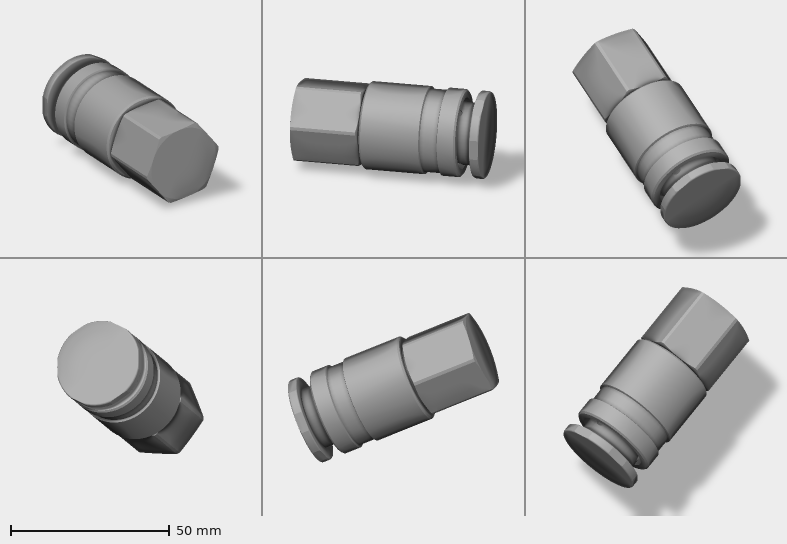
import cadquery as cq
import math

flange_width = 3.0
sleeve_start = 7.55
neck_step = 11.7
groove_start = 13.35
groove_end = 19.35
sleeve_end = 38.8
hex_start = 39.45
length = 61.45

outer_diameter = 28.0
groove_diameter = 26.5
front_neck_diameter = 20.0
rear_neck_diameter = 22.75

flange_across_flats = 27.3
flange_rounding = 0.5
hexagon_sides = 6

end_chamfer = 0.55
groove_wall_run = 0.275

pocket_count = 3
pocket_diameter = 3.3
pocket_x = 8.7
pocket_floor_diameter = 18.8

hex_across_flats = 24.0
hex_corner_diameter = 27.15
hex_roll = 8.7
hex_face_diameter = 24.1
hex_front_chamfer = 0.55
hex_rear_chamfer = 0.35


def turned(points):
    """Revolve a closed (x, radius) outline about the X axis."""
    outline = cq.Workplane("XY").polyline(points).close()
    return outline.revolve(360, (0, 0, 0), (1, 0, 0))


def cylinder(start, end, diameter):
    return cq.Workplane("YZ").workplane(offset=start).circle(diameter / 2).extrude(end - start)


def chamfered_disc(start, end, diameter, face_diameter, front_chamfer, rear_chamfer):
    """Disc whose two rims are cut back to a smaller face diameter."""
    return turned([
        (start, 0),
        (start, face_diameter / 2),
        (start + front_chamfer, diameter / 2),
        (end - rear_chamfer, diameter / 2),
        (end, face_diameter / 2),
        (end, 0),
    ])


def hexagonal_bar(start, end, across_flats, roll):
    """Hexagonal prism along X with corners at +Y and -Y, then rolled about X."""
    across_corners = across_flats / math.cos(math.pi / hexagon_sides)
    bar = cq.Workplane("YZ").workplane(offset=start).polygon(hexagon_sides, across_corners)
    return bar.extrude(end - start).rotate((0, 0, 0), (1, 0, 0), roll)


def make_flange():
    disc = cylinder(0, flange_width, outer_diameter).edges().fillet(flange_rounding)
    flats_to_minus_y = 180 / hexagon_sides
    return disc.intersect(hexagonal_bar(0, flange_width, flange_across_flats, flats_to_minus_y))


def make_hex_end():
    blank = chamfered_disc(
        hex_start, length, hex_corner_diameter, hex_face_diameter, hex_front_chamfer, hex_rear_chamfer
    )
    return blank.intersect(hexagonal_bar(hex_start, length, hex_across_flats, hex_roll))


def cut_pockets(body):
    drill = (
        cq.Workplane("XZ", origin=(pocket_x, 0, 0))
        .circle(pocket_diameter / 2)
        .extrude(front_neck_diameter)
    )
    first = drill.cut(cylinder(0, neck_step, pocket_floor_diameter))
    for index in range(pocket_count):
        body = body.cut(first.rotate((0, 0, 0), (1, 0, 0), index * 360 / pocket_count))
    return body


def make_core():
    """Flange, slim front neck, wider rear neck filling the sleeve bore, and hexagonal end."""
    core = make_flange()
    core = core.union(cylinder(flange_width, neck_step, front_neck_diameter))
    core = core.union(cylinder(neck_step, hex_start, rear_neck_diameter))
    core = core.union(make_hex_end())
    return cut_pockets(core)


def make_sleeve():
    """Grooved sleeve bored to fit the rear neck, clear of the front neck."""
    bore_radius = rear_neck_diameter / 2
    outer_radius = outer_diameter / 2
    groove_radius = groove_diameter / 2
    return turned([
        (sleeve_start, bore_radius),
        (sleeve_start, outer_radius - end_chamfer),
        (sleeve_start + end_chamfer, outer_radius),
        (groove_start, outer_radius),
        (groove_start + groove_wall_run, groove_radius),
        (groove_end - groove_wall_run, groove_radius),
        (groove_end, outer_radius),
        (sleeve_end - end_chamfer, outer_radius),
        (sleeve_end, outer_radius - end_chamfer),
        (sleeve_end, bore_radius),
    ])


core = make_core()
sleeve = make_sleeve()

result = cq.Compound.makeCompound([core.val(), sleeve.val()])